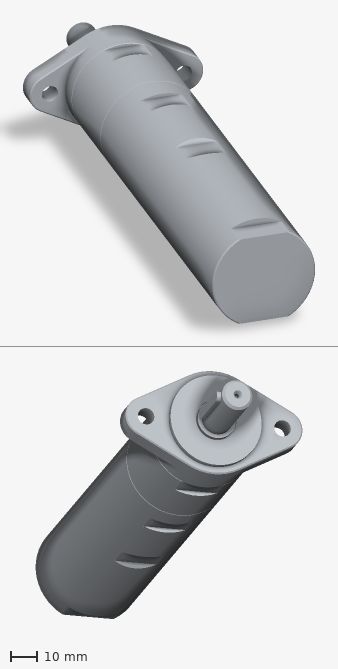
import cadquery as cq
import math


BODY_DIAMETER = 41.5
BODY_RADIUS = BODY_DIAMETER / 2
OVERALL_LENGTH = 216.7
SHAFT_REACH = 34.0
BODY_LENGTH = OVERALL_LENGTH - SHAFT_REACH
BODY_END_CHAMFER = 0.5
PILOT_DIAMETER = 36.0
PILOT_HEIGHT = 2.6

GROOVE_POSITIONS = (16.7, 50.7)
GROOVE_DEPTH = 0.3

FLANGE_THICKNESS = 9.0
FLANGE_EAR_RADIUS = 8.0
FLANGE_HOLE_DIAMETER = 6.5
FLANGE_SPAN = 69.94
FLANGE_CHAMFER = 0.5
FLANGE_HOLE_OFFSET = FLANGE_SPAN / 2 - FLANGE_EAR_RADIUS

SHAFT_DIAMETER = 12.0
SHAFT_CHAMFER = 1.0
COLLAR_DIAMETER = 15.0
COLLAR_HEIGHT = 1.0
SEAL_BORE_DIAMETER = 16.0
SEAL_BORE_DEPTH = 1.0
CENTRE_HOLE_DIAMETER = 1.6
CENTRE_HOLE_DEPTH = 4.0
CENTRE_SINK_DIAMETER = 3.35
CENTRE_SINK_ANGLE = 60.0

KEY_LENGTH = 25.0
KEY_WIDTH = 4.0
KEY_TIP_GAP = 2.75
KEY_TOP = 7.5
KEY_SEAT = 3.5

FLAT_HEIGHT = 19.0
FLAT_LENGTH = 10.0
STRAIGHT_FLAT_STARTS = (GROOVE_POSITIONS[0], 61.5)
SLOPED_FLAT_START = 103.0
SLOPED_FLAT_LENGTH = 10.5
SLOPED_FLAT_RUN = BODY_RADIUS - FLAT_HEIGHT
END_FLAT_HEIGHT = 18.0
END_FLAT_LENGTH = 9.5


def cylinder(diameter, start, end):
    """Cylinder on the X axis between two X positions."""
    return cq.Workplane("YZ").workplane(offset=start).circle(diameter / 2).extrude(end - start)


def make_body():
    return cylinder(BODY_DIAMETER, 0, BODY_LENGTH).faces(">X").chamfer(BODY_END_CHAMFER)


def make_pilot():
    return cylinder(PILOT_DIAMETER, -PILOT_HEIGHT, 0)


def make_flange():
    """Two ears whose straight sides are tangent to the body circle; their inner ends lie inside the body."""
    tangent_sine = (BODY_RADIUS - FLANGE_EAR_RADIUS) / FLANGE_HOLE_OFFSET
    tangent_cosine = math.sqrt(1 - tangent_sine**2)
    body_y = BODY_RADIUS * tangent_sine
    body_z = BODY_RADIUS * tangent_cosine
    ear_y = FLANGE_HOLE_OFFSET + FLANGE_EAR_RADIUS * tangent_sine
    ear_z = FLANGE_EAR_RADIUS * tangent_cosine
    ears = (
        cq.Workplane("YZ")
        .moveTo(-body_y, body_z)
        .lineTo(body_y, body_z)
        .lineTo(ear_y, ear_z)
        .threePointArc((FLANGE_SPAN / 2, 0), (ear_y, -ear_z))
        .lineTo(body_y, -body_z)
        .lineTo(-body_y, -body_z)
        .lineTo(-ear_y, -ear_z)
        .threePointArc((-FLANGE_SPAN / 2, 0), (-ear_y, ear_z))
        .close()
        .extrude(FLANGE_THICKNESS)
    )
    return ears.faces(">X").edges().chamfer(FLANGE_CHAMFER)


def make_flange_holes():
    return (
        cq.Workplane("YZ")
        .pushPoints([(-FLANGE_HOLE_OFFSET, 0), (FLANGE_HOLE_OFFSET, 0)])
        .circle(FLANGE_HOLE_DIAMETER / 2)
        .extrude(FLANGE_THICKNESS)
    )


def make_groove(position):
    """Ring-shaped cutter with a V section, centred on the given X position."""
    return (
        cq.Workplane("XY")
        .moveTo(position - GROOVE_DEPTH, BODY_RADIUS)
        .lineTo(position, BODY_RADIUS - GROOVE_DEPTH)
        .lineTo(position + GROOVE_DEPTH, BODY_RADIUS)
        .close()
        .revolve(360, (0, 0, 0), (1, 0, 0))
    )


def make_flat_pair(start, length, height, end_slope=0.0):
    """Cutters for two opposite flats; end_slope is the run of each end wall up to the body surface."""
    end = start + length
    upper = (
        cq.Workplane("XZ")
        .moveTo(start, height)
        .lineTo(end, height)
        .lineTo(end + end_slope, BODY_RADIUS)
        .lineTo(start - end_slope, BODY_RADIUS)
        .close()
        .extrude(BODY_RADIUS, both=True)
    )
    return upper.union(upper.mirror("XY"))


def make_shaft():
    shaft = cylinder(SHAFT_DIAMETER, -SHAFT_REACH, 0).faces("<X").chamfer(SHAFT_CHAMFER)
    collar = cylinder(COLLAR_DIAMETER, -PILOT_HEIGHT - COLLAR_HEIGHT, 0)
    return shaft.union(collar).union(make_key())


def make_key():
    middle = -SHAFT_REACH + KEY_TIP_GAP + KEY_LENGTH / 2
    return (
        cq.Workplane("XZ", origin=(middle, KEY_TOP, 0))
        .slot2D(KEY_LENGTH, KEY_WIDTH)
        .extrude(KEY_TOP - KEY_SEAT)
    )


def make_centre_hole():
    """Countersunk centre hole in the shaft tip."""
    half_angle = math.radians(CENTRE_SINK_ANGLE / 2)
    sink_depth = (CENTRE_SINK_DIAMETER - CENTRE_HOLE_DIAMETER) / 2 / math.tan(half_angle)
    tip = -SHAFT_REACH
    return (
        cq.Workplane("XY")
        .moveTo(tip, 0)
        .lineTo(tip, CENTRE_SINK_DIAMETER / 2)
        .lineTo(tip + sink_depth, CENTRE_HOLE_DIAMETER / 2)
        .lineTo(tip + CENTRE_HOLE_DEPTH, CENTRE_HOLE_DIAMETER / 2)
        .lineTo(tip + CENTRE_HOLE_DEPTH, 0)
        .close()
        .revolve(360, (0, 0, 0), (1, 0, 0))
    )


housing = make_body().union(make_flange())
housing = housing.faces("<X").edges().chamfer(FLANGE_CHAMFER)
housing = housing.union(make_pilot())
housing = housing.cut(make_flange_holes())
housing = housing.cut(cylinder(SEAL_BORE_DIAMETER, -PILOT_HEIGHT, -PILOT_HEIGHT + SEAL_BORE_DEPTH))
for groove_position in GROOVE_POSITIONS:
    housing = housing.cut(make_groove(groove_position))
for flat_start in STRAIGHT_FLAT_STARTS:
    housing = housing.cut(make_flat_pair(flat_start, FLAT_LENGTH, FLAT_HEIGHT))
housing = housing.cut(make_flat_pair(SLOPED_FLAT_START, SLOPED_FLAT_LENGTH, FLAT_HEIGHT, SLOPED_FLAT_RUN))
housing = housing.cut(make_flat_pair(BODY_LENGTH - END_FLAT_LENGTH, END_FLAT_LENGTH, END_FLAT_HEIGHT))

result = housing.union(make_shaft()).cut(make_centre_hole())